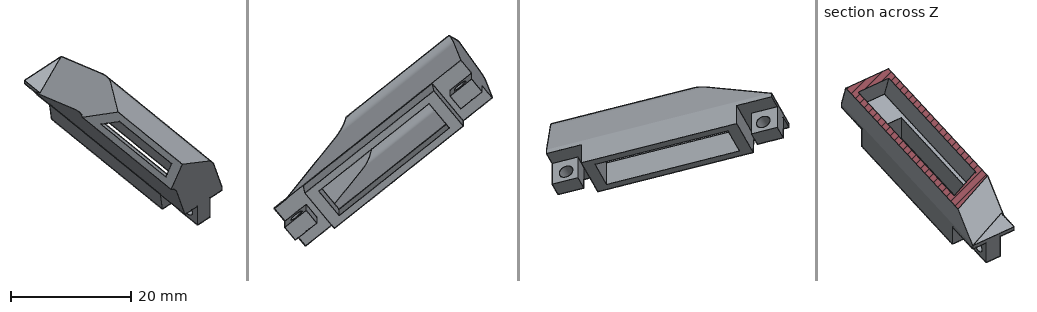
import cadquery as cq
import math

LENGTH = 40.0
DUCT_HEIGHT = 12.6
MOUTH_REACH = 11.36

LOWER_LEAN = math.radians(15)
UPPER_SLOPE = math.radians(30)
BEND_ANGLE = math.pi / 2 - LOWER_LEAN - UPPER_SLOPE
CHANNEL_WIDTH = 8.2
MOUTH_WIDTH = 5.0
REAR_BEND_RADIUS = 3.0
FRONT_BEND_RADIUS = 2.5
WALL = 1.2
END_WALL = 2.0
MOUTH_OVERRUN = 2.0

NOSE_YAW = math.radians(25.3)
NOSE_RUN = 1.68
NOSE_WALL = 1.25

PLATE_THICKNESS = 0.8
PLATE_WIDTH = CHANNEL_WIDTH
SPIGOT_LENGTH = 27.6
SPIGOT_HEIGHT = 4.0
SPIGOT_TIP_WIDTH = 7.75
SPIGOT_START = (LENGTH - SPIGOT_LENGTH) / 2
TAB_SIZE = 4.6
TAB_THICKNESS = 2.8
TAB_SETBACK = 2.65
HOLE_DIAMETER = 2.4
HOLE_INSET = 2.5
HOLE_DROP = 2.6

CLEARANCE = 4 * LENGTH

UP_LOWER = (-math.sin(LOWER_LEAN), math.cos(LOWER_LEAN))
TO_MOUTH = (-math.cos(UPPER_SLOPE), math.sin(UPPER_SLOPE))
DOWN_MOUTH = (-math.sin(UPPER_SLOPE), -math.cos(UPPER_SLOPE))
MOUTH_TOP = (MOUTH_WIDTH * math.sin(UPPER_SLOPE) - MOUTH_REACH, DUCT_HEIGHT)


def step(point, direction, distance):
    """Point reached by moving a distance along a direction."""
    return (point[0] + distance * direction[0], point[1] + distance * direction[1])


def lean_base(offset):
    """Point at Z = 0 on the leaning line at this offset in from the rear skin."""
    return (PLATE_THICKNESS * math.tan(LOWER_LEAN) - offset / math.cos(LOWER_LEAN), 0)


def bend_corner(base, mouth_point):
    """Where the leaning line from base crosses the line that slopes up to mouth_point."""
    lean = math.tan(LOWER_LEAN)
    slope = math.tan(UPPER_SLOPE)
    z = (mouth_point[1] + (mouth_point[0] - base[0]) * slope) / (1 - lean * slope)
    return (base[0] - z * lean, z)


def channel(inset, length, overrun):
    """Bent channel from X = 0, inset from the outer skin and running past the mouth by overrun."""
    rear_base = lean_base(inset)
    rear_at_plate = step(rear_base, UP_LOWER, PLATE_THICKNESS / math.cos(LOWER_LEAN))
    front_base = lean_base(CHANNEL_WIDTH - inset)
    mouth_top = step(MOUTH_TOP, DOWN_MOUTH, inset)
    mouth_bottom = step(MOUTH_TOP, DOWN_MOUTH, MOUTH_WIDTH - inset)
    rear_corner = bend_corner(rear_base, mouth_top)
    front_corner = bend_corner(front_base, mouth_bottom)
    rear_tangent = (REAR_BEND_RADIUS - inset) * math.tan(BEND_ANGLE / 2)
    front_tangent = (FRONT_BEND_RADIUS + inset) * math.tan(BEND_ANGLE / 2)
    return (
        cq.Workplane("YZ")
        .moveTo(*front_base)
        .lineTo(*step(front_corner, UP_LOWER, -front_tangent))
        .tangentArcPoint(step(front_corner, TO_MOUTH, front_tangent), relative=False)
        .lineTo(*step(mouth_bottom, TO_MOUTH, overrun))
        .lineTo(*step(mouth_top, TO_MOUTH, overrun))
        .lineTo(*step(rear_corner, TO_MOUTH, rear_tangent))
        .tangentArcPoint(step(rear_corner, UP_LOWER, -rear_tangent), relative=False)
        .lineTo(*rear_at_plate)
        .lineTo(rear_at_plate[0], 0)
        .close()
        .extrude(length)
    )


def beyond_nose(inset):
    """Everything outside the nose plane after moving the plane inwards by inset."""
    outward = cq.Vector(-1, -math.tan(NOSE_YAW), NOSE_RUN).normalized()
    origin = cq.Vector(0, 0, PLATE_THICKNESS) - outward * inset
    along_plane = cq.Vector(NOSE_RUN, 0, 1)
    plane = cq.Plane(origin, along_plane, outward)
    return cq.Workplane(plane).rect(CLEARANCE, CLEARANCE).extrude(CLEARANCE)


def block(x_range, y_range, z_range):
    """Box between the given limits."""
    sizes = [high - low for low, high in (x_range, y_range, z_range)]
    corner = (x_range[0], y_range[0], z_range[0])
    return cq.Workplane("XY").box(*sizes, centered=False).translate(corner)


def make_plate():
    return block((0, LENGTH), (-PLATE_WIDTH, 0), (0, PLATE_THICKNESS))


def make_spigot():
    """Inlet block whose front face tapers towards the tip."""
    outline = [
        (0, 0),
        (-PLATE_WIDTH, 0),
        (-SPIGOT_TIP_WIDTH, -SPIGOT_HEIGHT),
        (0, -SPIGOT_HEIGHT),
    ]
    workplane = cq.Workplane("YZ", origin=(SPIGOT_START, 0, 0))
    return workplane.polyline(outline).close().extrude(SPIGOT_LENGTH)


def make_tab(x_start, hole_x):
    """Square mounting tab with a cross hole along Y."""
    y_range = (-TAB_SETBACK - TAB_THICKNESS, -TAB_SETBACK)
    tab = block((x_start, x_start + TAB_SIZE), y_range, (-TAB_SIZE, 0))
    hole_plane = cq.Workplane("XZ", origin=(hole_x, 0, -HOLE_DROP))
    return tab.cut(hole_plane.circle(HOLE_DIAMETER / 2).extrude(PLATE_WIDTH))


def make_cavity():
    """Hollow of the duct, standing on the plate and open at the mouth."""
    below_floor = block((0, LENGTH), (-CLEARANCE, CLEARANCE), (-CLEARANCE, PLATE_THICKNESS))
    cavity = channel(WALL, LENGTH - END_WALL, MOUTH_OVERRUN)
    return cavity.cut(beyond_nose(NOSE_WALL)).cut(below_floor)


def make_inlet():
    """Opening up through the spigot and the plate into the cavity."""
    x_range = (SPIGOT_START + END_WALL, SPIGOT_START + SPIGOT_LENGTH - END_WALL)
    y_range = (WALL - SPIGOT_TIP_WIDTH, -WALL)
    return block(x_range, y_range, (-SPIGOT_HEIGHT, PLATE_THICKNESS))


result = channel(0, LENGTH, 0).cut(beyond_nose(0))
result = result.union(make_plate()).union(make_spigot())
result = result.union(make_tab(0, HOLE_INSET))
result = result.union(make_tab(LENGTH - TAB_SIZE, LENGTH - HOLE_INSET))
result = result.cut(make_cavity()).cut(make_inlet())